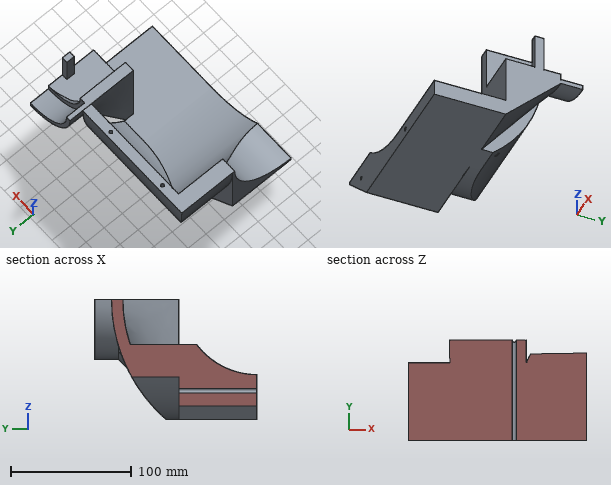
import cadquery as cq
import math

length = 175.0
depth = 135.0
height = 100.0

floor_thickness = 15.0
bowl_end_x = 125.0
front_depth = 65.0
side_radius = height
inner_side_radius = side_radius - floor_thickness
back_outer_top = 121.0
back_outer_bottom = 75.2
back_inner_top = 111.3
back_inner_bottom = 74.9
corner_chamfer = 35.0
side_notch_radius = 62.5

wall_thickness = 10.0
lip_length = 20.0
lip_start = depth - lip_length
lip_outer_radius = length - bowl_end_x
lip_inner_radius = 45.7
channel_radius = lip_outer_radius - wall_thickness
channel_floor = height - channel_radius
seam_angle = 60.0

post_width = 5.8
post_depth = 8.2
post_front = 91.4
post_top = 93.3
front_hole_diameter = 3.3
front_holes = [(23.8, 24.0), (115.0, 7.9)]
rim_hole_diameter = 3.0
rim_hole_depth = 10.0
rim_hole_xs = [29.8, 94.8]
rim_hole_y = (back_outer_top + back_inner_top) / 2


def box(x0, x1, y0, y1, z0, z1):
    """Axis-aligned box between two opposite corners."""
    return cq.Workplane("XY").box(x1 - x0, y1 - y0, z1 - z0, centered=False).translate((x0, y0, z0))


def side_curve(radius, bottom, y0, y1):
    """Prism along Y whose left side is a quarter arc ending tangent to its bottom."""
    center_x = side_radius
    diagonal = radius * math.sqrt(0.5)
    return (
        cq.Workplane("XZ", origin=(0, y0, 0))
        .moveTo(center_x - radius, height)
        .threePointArc((center_x - diagonal, height - diagonal), (center_x, bottom))
        .lineTo(length, bottom)
        .lineTo(length, height)
        .close()
        .extrude(y0 - y1)
    )


def back_curve(y_top, y_bottom, bottom, x1):
    """Prism along X whose back is an arc, vertical at the rim and leaning forward below."""
    drop = height - bottom
    inset = y_top - y_bottom
    radius = (inset**2 + drop**2) / (2 * inset)
    half_angle = math.asin(drop / radius) / 2
    middle_y = y_top - radius * (1 - math.cos(half_angle))
    middle_z = height - radius * math.sin(half_angle)
    return (
        cq.Workplane("YZ")
        .moveTo(0, height)
        .lineTo(y_top, height)
        .threePointArc((middle_y, middle_z), (y_bottom, bottom))
        .lineTo(0, bottom)
        .close()
        .extrude(x1)
    )


def square_to_round(left_x, bottom_z):
    """Ruled transition from a rectangle at the block front to a quarter disc at the lip."""
    radius = length - left_x

    def arc_point(angle):
        turn = math.radians(angle)
        return (length - radius * math.cos(turn), height - radius * math.sin(turn))

    rectangle = (
        cq.Workplane("XZ", origin=(0, front_depth, 0))
        .moveTo(length, height)
        .lineTo(left_x, height)
        .lineTo(left_x, bottom_z)
        .lineTo(length, bottom_z)
        .close()
        .val()
    )
    quarter_disc = (
        cq.Workplane("XZ", origin=(0, lip_start, 0))
        .moveTo(length, height)
        .lineTo(left_x, height)
        .threePointArc(arc_point(seam_angle / 2), arc_point(seam_angle))
        .threePointArc(arc_point((seam_angle + 90) / 2), arc_point(90))
        .close()
        .val()
    )
    return cq.Workplane(cq.Solid.makeLoft([rectangle, quarter_disc], True))


def lip_cylinder(radius):
    """Cylinder along Y around the spout axis, as long as the lip."""
    return cq.Workplane("XZ", origin=(length, lip_start, height)).circle(radius).extrude(-lip_length)


def make_bowl():
    front = box(0, length, 0, front_depth, 0, height)
    front = front.edges("|Y and <X and <Z").chamfer(corner_chamfer)
    back = side_curve(side_radius, 0, front_depth, depth)
    back = back.intersect(back_curve(back_outer_top, back_outer_bottom, 0, bowl_end_x))
    cavity = side_curve(inner_side_radius, floor_thickness, 0, depth)
    cavity = cavity.intersect(back_curve(back_inner_top, back_inner_bottom, floor_thickness, length))
    side_notch = (
        cq.Workplane("YZ", origin=(0, 0, height)).circle(side_notch_radius).extrude(side_radius)
    )
    return front.union(back).cut(cavity).cut(side_notch)


def make_spout():
    wall_x = bowl_end_x + wall_thickness
    channel = square_to_round(wall_x, floor_thickness)
    channel = channel.intersect(box(wall_x, length, front_depth, lip_start, channel_floor, height))
    block = square_to_round(bowl_end_x, 0)
    lip = box(bowl_end_x, length, lip_start, depth, 0, height)
    lip = lip.intersect(lip_cylinder(lip_outer_radius)).cut(lip_cylinder(lip_inner_radius))
    return block.cut(channel).union(lip)


def make_front_holes():
    return (
        cq.Workplane("XZ").pushPoints(front_holes).circle(front_hole_diameter / 2).extrude(-depth)
    )


def make_rim_holes():
    return (
        cq.Workplane("XY", origin=(0, 0, height))
        .pushPoints([(x, rim_hole_y) for x in rim_hole_xs])
        .circle(rim_hole_diameter / 2)
        .extrude(-rim_hole_depth)
    )


post = box(
    length - post_width, length, post_front, post_front + post_depth, channel_floor, post_top
)
result = make_bowl().union(make_spout()).union(post)
result = result.cut(make_front_holes()).cut(make_rim_holes())